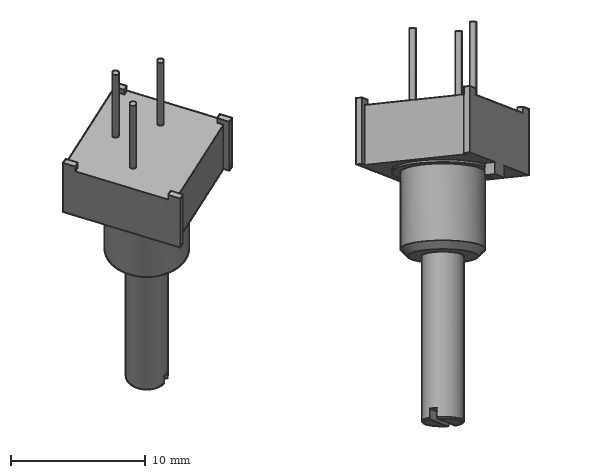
import cadquery as cq

TOTAL_HEIGHT = 30.2
BODY_BOTTOM = 19.2
BODY_HEIGHT = 4.55
BODY_TOP = BODY_BOTTOM + BODY_HEIGHT

HOUSING_SIDE = 9.55
AXIS_OFFSET = 0.05
HOUSING_LEFT = AXIS_OFFSET - HOUSING_SIDE / 2
HOUSING_RIGHT = HOUSING_LEFT + HOUSING_SIDE
WALL = 0.48
STANDOFF_LENGTH = 1.0

SHOULDER_DIAMETER = 7.6
SHOULDER_HEIGHT = 0.18
BUSHING_DIAMETER = 6.35
BUSHING_LENGTH = 6.55
BUSHING_CHAMFER = 0.55

SHAFT_DIAMETER = 3.17
SHAFT_CHAMFER = 0.12
SLOT_WIDTH = 0.6
SLOT_DEPTH = 0.82

TAB_WIDTH = 1.5
TAB_THICKNESS = 0.85
TAB_HEIGHT = 0.9

PIN_PITCH = 2.55
PIN_DIAMETER = 0.5
PIN_POSITIONS = [(0, PIN_PITCH), (-PIN_PITCH, 0), (0, -PIN_PITCH)]


def block(x_min, x_max, y_min, y_max, z_min, z_max):
    """Box given by its limits along each axis."""
    size = (x_max - x_min, y_max - y_min, z_max - z_min)
    return cq.Workplane().box(*size, centered=False).translate((x_min, y_min, z_min))


def cylinder_between(diameter, z_min, z_max):
    """Cylinder on the shaft axis."""
    return cq.Workplane().workplane(offset=z_min).circle(diameter / 2).extrude(z_max - z_min)


def make_housing():
    """Housing recessed at +X between its side walls, with four corner standoffs on top."""
    half = HOUSING_SIDE / 2
    housing = block(HOUSING_LEFT, HOUSING_RIGHT - WALL, -half, half, BODY_BOTTOM, BODY_TOP)
    for y_min in (-half, half - WALL):
        y_max = y_min + WALL
        wall = block(HOUSING_LEFT, HOUSING_RIGHT, y_min, y_max, BODY_BOTTOM, BODY_TOP)
        housing = housing.union(wall)
        for x_min in (HOUSING_LEFT, HOUSING_RIGHT - STANDOFF_LENGTH):
            x_max = x_min + STANDOFF_LENGTH
            standoff = block(x_min, x_max, y_min, y_max, BODY_TOP, BODY_TOP + WALL)
            housing = housing.union(standoff)
    return housing


def make_tab():
    edge = HOUSING_SIDE / 2
    half_width = TAB_WIDTH / 2
    return block(-half_width, half_width, edge - TAB_THICKNESS, edge, BODY_BOTTOM - TAB_HEIGHT, BODY_BOTTOM)


def make_bushing():
    shoulder = cylinder_between(SHOULDER_DIAMETER, BODY_BOTTOM - SHOULDER_HEIGHT, BODY_BOTTOM)
    sleeve = cylinder_between(BUSHING_DIAMETER, BODY_BOTTOM - BUSHING_LENGTH, BODY_BOTTOM)
    sleeve = sleeve.faces("<Z").chamfer(BUSHING_CHAMFER)
    return shoulder.union(sleeve)


def make_shaft():
    radius = SHAFT_DIAMETER / 2
    shaft = cylinder_between(SHAFT_DIAMETER, 0, BODY_BOTTOM).faces("<Z").chamfer(SHAFT_CHAMFER)
    slot = block(-radius, radius, -SLOT_WIDTH / 2, SLOT_WIDTH / 2, 0, SLOT_DEPTH)
    return shaft.cut(slot)


def make_pins():
    pins = cq.Workplane().workplane(offset=BODY_TOP).pushPoints(PIN_POSITIONS)
    return pins.circle(PIN_DIAMETER / 2).extrude(TOTAL_HEIGHT - BODY_TOP)


result = make_housing()
for component in (make_tab(), make_bushing(), make_shaft(), make_pins()):
    result = result.union(component)